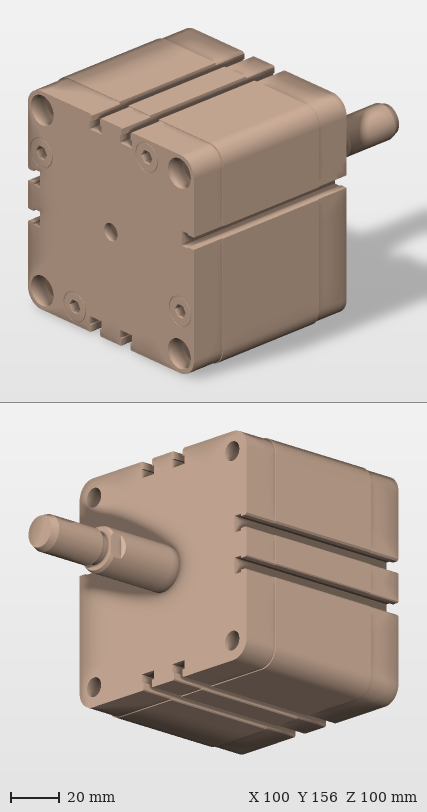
import cadquery as cq


total_length = 156.0
barrel_width = 100.0
cap_width = 99.2
corner_radius = 8.0
body_length = 86.1
cap_length = 16.0

mount_spacing = 82.0
mount_hole_diameter = 8.5
counterbore_diameter = 13.5
counterbore_depth = 8.6

screw_offset_along_side = 21.5
screw_offset_to_side = 41.5
screw_recess_diameter = 13.5
screw_head_diameter = 12.5
screw_gap_depth = 0.3
hex_across_corners = 6.5
hex_depth = 3.6

center_hole_diameter = 8.0
center_hole_depth = 4.0

groove_depth = 7.5
lip_depth = 3.7
pair_offset = 9.0
pair_mouth_width = 5.1
pair_inner_width = 7.2
single_offset = 12.0
single_mouth_width = 5.6
single_inner_width = 6.7
wide_chamfer = 0.8
small_chamfer = 0.5

rod_diameter = 20.0
rod_shoulder_distance = 32.1
rod_chamfer_length = 1.5
rod_chamfer_height = 0.8
thread_diameter = 16.0
thread_length = 28.2
thread_tip_chamfer = 3.3
thread_root_diameter = 13.5
thread_runout = 0.6
flat_width = 17.0
flat_length = 5.6
flat_runout = (rod_diameter - flat_width) / 2


def along_y(start):
    """Sketch plane across the cylinder at Y = start; local axes are X and Z."""
    return cq.Workplane(cq.Plane(origin=(0, start, 0), xDir=(1, 0, 0), normal=(0, -1, 0)))


def prism(sketch, length):
    """Extrude a sketch towards +Y."""
    return sketch.extrude(-length)


def block(width, start, length):
    """Square section of the body with rounded long edges."""
    return prism(along_y(start).rect(width, width), length).edges("|Y").fillet(corner_radius)


def turned_to_side(shape, angle):
    """Turn a shape made on the top side about the Y axis: 90 is +X, 180 is -Z, 270 is -X."""
    return shape.rotate((0, 0, 0), (0, 1, 0), angle)


def groove(offset, mouth_width, inner_width):
    """T-shaped groove through the whole body, open at the top side."""
    outer = barrel_width / 2
    mouth = along_y(0).center(offset, outer - lip_depth / 2).rect(mouth_width, lip_depth)
    inner_height = groove_depth - lip_depth
    inner_center = outer - lip_depth - inner_height / 2
    inner = along_y(0).center(offset, inner_center).rect(inner_width, inner_height)
    return prism(mouth, body_length).union(prism(inner, body_length))


def mouth_chamfers(width, start, length, outer_chamfer):
    """Bevels on the mouths of a groove pair at the top side of a block of the given width."""
    top = width / 2
    outer_edge = pair_offset + pair_mouth_width / 2
    inner_edge = pair_offset - pair_mouth_width / 2
    cutter = cq.Workplane()
    for side in (-1, 1):
        points = [
            (side * (inner_edge - small_chamfer), top),
            (side * inner_edge, top - small_chamfer),
            (side * outer_edge, top - outer_chamfer),
            (side * (outer_edge + outer_chamfer), top),
        ]
        cutter = cutter.add(prism(along_y(start).polyline(points).close(), length))
    return cutter.combine()


def make_body():
    barrel_length = body_length - 2 * cap_length
    rod_cap_start = body_length - cap_length
    sections = [
        (cap_width, 0, cap_length),
        (barrel_width, cap_length, barrel_length),
        (cap_width, rod_cap_start, cap_length),
    ]
    body = cq.Workplane()
    for section in sections:
        body = body.add(block(*section))
    body = body.combine()

    groove_pair = groove(pair_offset, pair_mouth_width, pair_inner_width).union(
        groove(-pair_offset, pair_mouth_width, pair_inner_width)
    )
    for angle in (0, 180, 270):
        body = body.cut(turned_to_side(groove_pair, angle))
    single_groove = groove(-single_offset, single_mouth_width, single_inner_width)
    body = body.cut(turned_to_side(single_groove, 90))

    for width, start, length in sections:
        wide_bevels = mouth_chamfers(width, start, length, wide_chamfer)
        small_bevels = mouth_chamfers(width, start, length, small_chamfer)
        body = body.cut(turned_to_side(wide_bevels, 270))
        body = body.cut(turned_to_side(small_bevels, 180))
        if width == cap_width:
            body = body.cut(wide_bevels)
    return body


def mounting_holes():
    corners = along_y(0).rect(mount_spacing, mount_spacing, forConstruction=True).vertices()
    through = prism(corners.circle(mount_hole_diameter / 2), body_length)
    return through.union(prism(corners.circle(counterbore_diameter / 2), counterbore_depth))


def screw_cutter():
    """Ring gap around each screw head and the hexagon socket in it."""
    along = screw_offset_along_side
    out = screw_offset_to_side
    heads = along_y(0).pushPoints([(along, out), (out, -along), (-along, -out), (-out, along)])
    recess = prism(heads.circle(screw_recess_diameter / 2), screw_gap_depth)
    gap = recess.cut(prism(heads.circle(screw_head_diameter / 2), screw_gap_depth))
    return gap.union(prism(heads.polygon(6, hex_across_corners), hex_depth))


def make_rod():
    """Turned rod from the body to the threaded tip, with two wrench flats facing -X and +X."""
    shoulder = total_length - rod_shoulder_distance
    thread_start = total_length - thread_length
    rod_radius = rod_diameter / 2
    thread_radius = thread_diameter / 2
    root_radius = thread_root_diameter / 2
    profile = [
        (0, body_length),
        (rod_radius, body_length),
        (rod_radius, shoulder - rod_chamfer_length),
        (rod_radius - rod_chamfer_height, shoulder),
        (root_radius, shoulder),
        (root_radius, thread_start - thread_runout),
        (thread_radius, thread_start),
        (thread_radius, total_length - thread_tip_chamfer),
        (root_radius, total_length),
        (0, total_length),
    ]
    rod = cq.Workplane("XY").polyline(profile).close().revolve(360, (0, 0, 0), (0, 1, 0))

    flat_end = shoulder - flat_length
    for side in (-1, 1):
        flat_cut = [
            (side * flat_width / 2, shoulder),
            (side * flat_width / 2, flat_end),
            (side * rod_radius, flat_end - flat_runout),
            (side * rod_diameter, flat_end - flat_runout),
            (side * rod_diameter, shoulder),
        ]
        rod = rod.cut(cq.Workplane("XY").polyline(flat_cut).close().extrude(rod_radius, both=True))
    return rod


center_hole = prism(along_y(0).circle(center_hole_diameter / 2), center_hole_depth)

result = make_body().cut(mounting_holes()).cut(screw_cutter()).cut(center_hole).union(make_rod())